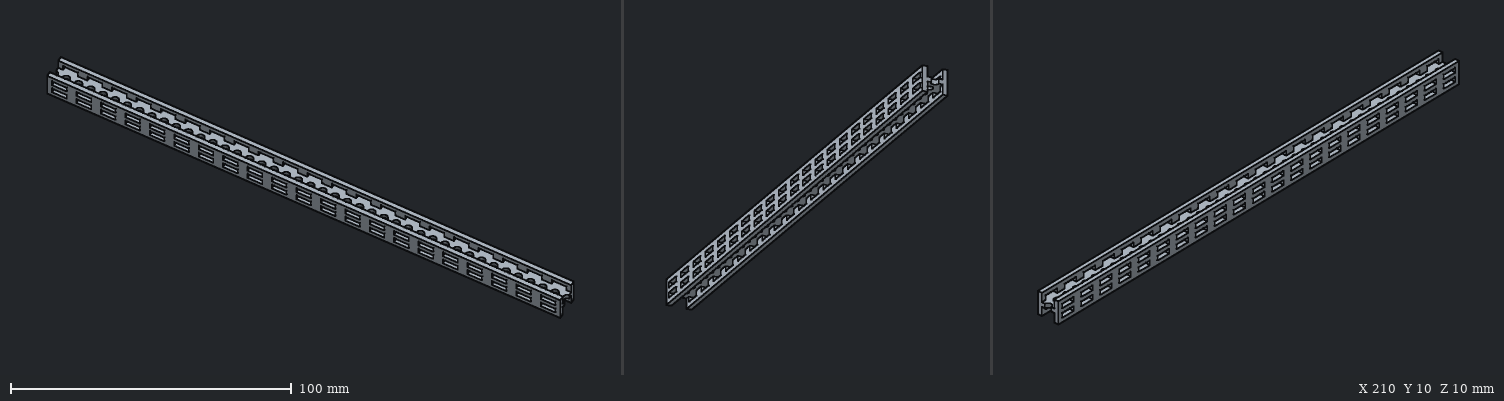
import cadquery as cq

length = 210.0
width = 10.0
height = 10.0
flange_thickness = 2.0
web_thickness = 2.0

hole_diameter = 3.0
hole_pitch = 5.0

slot_length = 6.0
slot_height = 2.0
slot_pitch = 10.0
slot_row_spacing = 4.0

hole_count = round(length / hole_pitch) + 1
slot_count = round(length / slot_pitch)


def make_beam():
    """H section: two upright flanges joined by a level web at mid height."""
    beam = cq.Workplane("XY").box(length, width - flange_thickness, web_thickness)
    flange_offset = (width - flange_thickness) / 2
    for side in (-1, 1):
        flange = cq.Workplane("XY").box(length, flange_thickness, height)
        beam = beam.union(flange.translate((0, side * flange_offset, 0)))
    return beam


def make_web_holes():
    """Row of cylinders along the web, the first and last centred on the end faces."""
    return (
        cq.Workplane("XY")
        .rarray(hole_pitch, 1, hole_count, 1)
        .circle(hole_diameter / 2)
        .extrude(web_thickness, both=True)
    )


def make_flange_slots():
    """Two rows of rectangular bars that pass through both flanges."""
    return (
        cq.Workplane("XZ")
        .rarray(slot_pitch, slot_row_spacing, slot_count, 2)
        .rect(slot_length, slot_height)
        .extrude(width, both=True)
    )


result = make_beam().cut(make_web_holes()).cut(make_flange_slots())